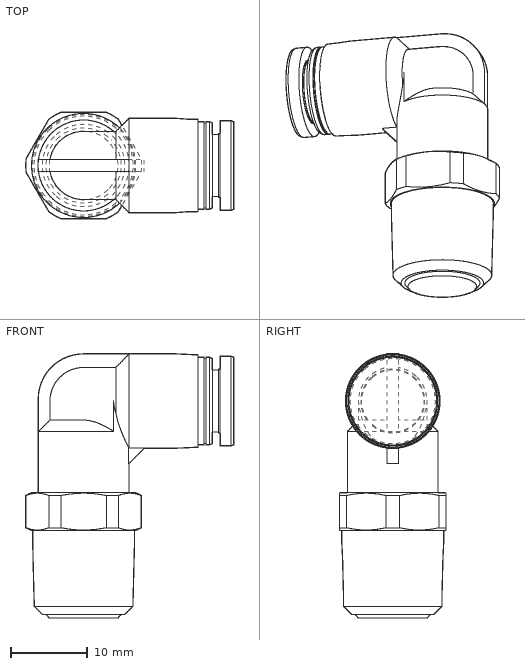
import cadquery as cq
import math

total_height = 34.75
socket_radius = 6.22
branch_height = total_height - socket_radius

tip_radius = 4.52
tip_shoulder_radius = 4.95
tip_height = 0.5
chamfer_inner_radius = 5.42
thread_chamfer = 1.08
thread_bottom_radius = chamfer_inner_radius + thread_chamfer
thread_bottom = tip_height + thread_chamfer
thread_top_radius = 6.7
thread_top = 9.85

hex_across_flats = 14.0
hex_corner_radius = 7.6
hex_face_radius = 6.85
hex_bottom = 11.5
hex_height = 5.0
hex_bevel_height = 0.38
hex_top = hex_bottom + hex_height

barrel_radius = 5.98
barrel_top = 24.55
elbow_radius = 4.5
barrel_cone_height = barrel_radius - elbow_radius

socket_start = barrel_radius
socket_cone_start = socket_start - (socket_radius - elbow_radius)
socket_straight_end = 12.05
socket_end = 15.05
socket_end_radius = 6.08

ring_radius = 5.77
ring_end = 16.92
ring_bevel_length = 0.35
ring_bevel_depth = 0.17
groove_middle = 15.95
groove_width = 0.2
groove_depth = 0.17

neck_radius = 4.1
collar_radius = 4.2
collar_start = 17.75
flange_start = 17.93
flange_end = 19.75
flange_radius = 5.9
flange_bevel_length = 0.35
flange_bevel_depth = 0.15

web_thickness = 1.53
gusset_bottom = 20.33
gusset_reach = 7.95


def make_vertical_leg():
    """Turned spigot and barrel, with a short cone at the top of the barrel."""
    profile = [
        (0, 0),
        (tip_radius, 0),
        (tip_shoulder_radius, tip_height),
        (chamfer_inner_radius, tip_height),
        (thread_bottom_radius, thread_bottom),
        (thread_top_radius, thread_top),
        (thread_top_radius, hex_bottom),
        (barrel_radius, hex_bottom),
        (barrel_radius, barrel_top),
        (elbow_radius, barrel_top + barrel_cone_height),
        (elbow_radius, branch_height),
        (0, branch_height),
    ]
    return cq.Workplane("XZ").polyline(profile).close().revolve(360, (0, 0), (0, 1))


def make_hex():
    """Hexagon with turned corners and bevelled ends; two flats face +Y and -Y."""
    corner_diameter = hex_across_flats / math.cos(math.radians(30))
    prism = (
        cq.Workplane("XY", origin=(0, 0, hex_bottom))
        .polygon(6, corner_diameter)
        .extrude(hex_height)
    )
    envelope = [
        (0, hex_bottom),
        (hex_face_radius, hex_bottom),
        (hex_corner_radius, hex_bottom + hex_bevel_height),
        (hex_corner_radius, hex_top - hex_bevel_height),
        (hex_face_radius, hex_top),
        (0, hex_top),
    ]
    turned = cq.Workplane("XZ").polyline(envelope).close().revolve(360, (0, 0), (0, 1))
    return prism.intersect(turned)


def make_elbow():
    """Spherical corner and the flat-sided fill below the horizontal tube."""
    corner = cq.Workplane("XY", origin=(0, 0, branch_height)).sphere(elbow_radius)
    fill_height = branch_height - barrel_top
    fill = (
        cq.Workplane("XY", origin=(0, 0, barrel_top))
        .rect(2 * barrel_radius, 2 * elbow_radius)
        .extrude(fill_height)
    )
    socket_side = (
        cq.Workplane("XY", origin=(0, 0, barrel_top))
        .moveTo(0, -barrel_radius)
        .threePointArc((barrel_radius, 0), (0, barrel_radius))
        .close()
        .extrude(fill_height)
    )
    return corner.union(fill.intersect(socket_side))


def make_horizontal_leg():
    """Turned tube, socket, retaining ring and release sleeve."""
    groove_start = groove_middle - groove_width / 2
    groove_end = groove_middle + groove_width / 2
    profile = [
        (0, 0),
        (0, elbow_radius),
        (socket_cone_start, elbow_radius),
        (socket_start, socket_radius),
        (socket_straight_end, socket_radius),
        (socket_end, socket_end_radius),
        (socket_end, ring_radius),
        (groove_start, ring_radius),
        (groove_start, ring_radius - groove_depth),
        (groove_end, ring_radius - groove_depth),
        (groove_end, ring_radius),
        (ring_end - ring_bevel_length, ring_radius),
        (ring_end, ring_radius - ring_bevel_depth),
        (ring_end, neck_radius),
        (collar_start, neck_radius),
        (collar_start, collar_radius),
        (flange_start, collar_radius),
        (flange_start, flange_radius),
        (flange_end - flange_bevel_length, flange_radius),
        (flange_end, flange_radius - flange_bevel_depth),
        (flange_end, 0),
    ]
    return (
        cq.Workplane("XZ", origin=(0, 0, branch_height))
        .polyline(profile)
        .close()
        .revolve(360, (0, 0), (1, 0))
    )


def make_web():
    """Central web around the back of the elbow and a gusset below the socket."""
    gusset_top = branch_height - socket_radius
    return (
        cq.Workplane("XZ")
        .moveTo(-barrel_radius, barrel_top)
        .lineTo(-barrel_radius, total_height - barrel_radius)
        .radiusArc((0, total_height), barrel_radius)
        .lineTo(socket_start, total_height)
        .lineTo(gusset_reach, branch_height)
        .lineTo(gusset_reach, gusset_top)
        .lineTo(barrel_radius, gusset_bottom)
        .lineTo(0, gusset_bottom)
        .lineTo(0, barrel_top)
        .close()
        .extrude(web_thickness / 2, both=True)
    )


result = (
    make_vertical_leg()
    .union(make_hex())
    .union(make_elbow())
    .union(make_horizontal_leg())
    .union(make_web())
)